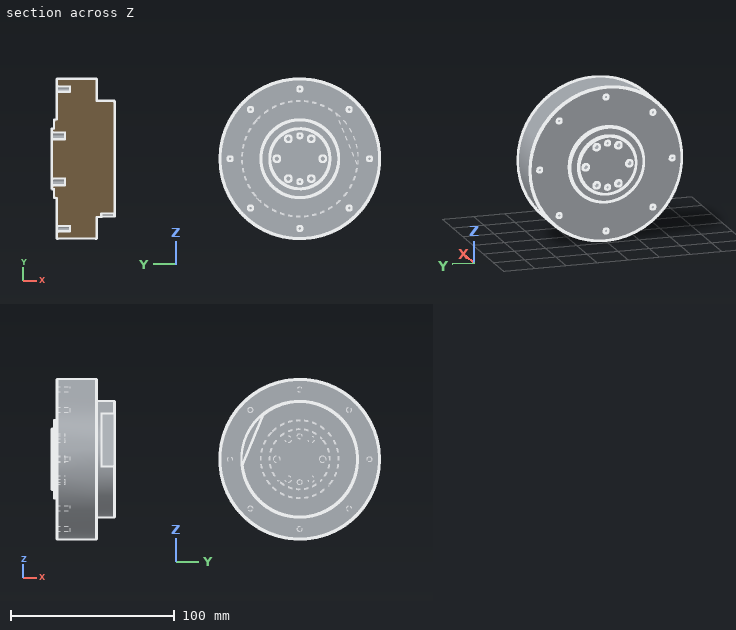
import cadquery as cq

RING_FACE = 1.3
DISC_FACE = 3.0
DISC_BACK = 27.5
HUB_BACK = 38.5

PILOT_RADIUS = 18.6
RING_RADIUS = 24.0
DISC_RADIUS = 49.0
HUB_RADIUS = 35.6

EDGE_CHAMFER = 0.5

FLAT_LENGTH = 8.1
FLAT_DISTANCE = 31.0
FLAT_TILT = 22.5

BOLT_CIRCLE_RADIUS = 14.0
BOLT_DIAMETER = 4.0
BOLT_COUNT = 6
DOWEL_DIAMETER = 3.0
DOWEL_COUNT = 2
BLIND_DEPTH = 8.0
RIM_CIRCLE_RADIUS = 42.5
RIM_HOLE_DIAMETER = 3.0
RIM_HOLE_COUNT = 8


def turned_step(start, end, radius):
    """Round step about the X axis between two stations."""
    return cq.Workplane("YZ", origin=(start, 0, 0)).circle(radius).extrude(end - start)


def hole_ring(face, depth, circle_radius, diameter, count, first_angle):
    """Evenly spaced round cutters, running along +X from a face; angles start at +Y."""
    return (
        cq.Workplane("YZ", origin=(face, 0, 0))
        .polarArray(circle_radius, first_angle, 360, count)
        .circle(diameter / 2)
        .extrude(depth)
    )


def hub_flat_cutter():
    """Block that removes the hub outside the flat, on the -Y side tilted towards +Z."""
    block_depth = HUB_RADIUS
    block = cq.Workplane("XY").box(
        FLAT_LENGTH, block_depth, 2 * HUB_RADIUS, centered=(False, False, True)
    )
    block = block.translate((HUB_BACK - FLAT_LENGTH, -FLAT_DISTANCE - block_depth, 0))
    return block.rotate((0, 0, 0), (1, 0, 0), -FLAT_TILT)


pilot = turned_step(0, RING_FACE, PILOT_RADIUS).faces("<X").chamfer(EDGE_CHAMFER)
ring = turned_step(RING_FACE, DISC_FACE, RING_RADIUS).faces("<X").chamfer(EDGE_CHAMFER)
disc = turned_step(DISC_FACE, DISC_BACK, DISC_RADIUS).faces("<X or >X").chamfer(EDGE_CHAMFER)
hub = turned_step(DISC_BACK, HUB_BACK, HUB_RADIUS).faces(">X").chamfer(EDGE_CHAMFER)
body = pilot.union(ring).union(disc).union(hub)

body = body.cut(hub_flat_cutter())

body = body.cut(hole_ring(0, BLIND_DEPTH, BOLT_CIRCLE_RADIUS, BOLT_DIAMETER, BOLT_COUNT, 0))
body = body.cut(hole_ring(0, BLIND_DEPTH, BOLT_CIRCLE_RADIUS, DOWEL_DIAMETER, DOWEL_COUNT, 90))

body = body.cut(
    hole_ring(DISC_FACE, BLIND_DEPTH, RIM_CIRCLE_RADIUS, RIM_HOLE_DIAMETER, RIM_HOLE_COUNT, 0)
)

result = body